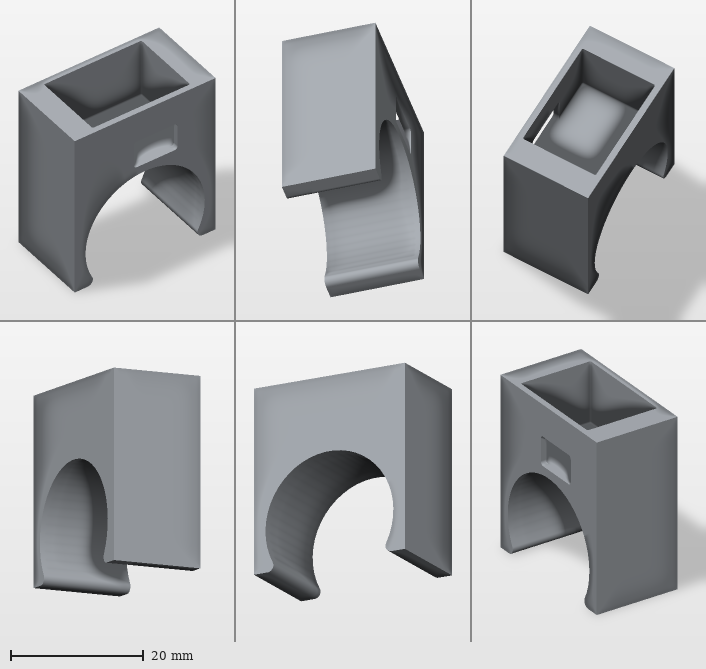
import cadquery as cq

width = 14.7
depth = 26.0
height = 29.5

bore_radius = 11.0
bore_center_z = 6.55
lip_radius = 1.0

wall = 1.0
pocket_width = width - 2 * wall
pocket_length = 18.0
pocket_depth = 10.5
floor_z = height - pocket_depth
pocket_fillet = 0.25

window_length = 8.08
window_height = 5.02
window_center_y = 1.95
window_radius = 0.6


def clip_body():
    """Block with the bore cut away and its two bottom lips rounded."""
    block = cq.Workplane("XY").box(width, depth, height, centered=(True, True, False))
    bore = (
        cq.Workplane("YZ")
        .center(0, bore_center_z)
        .circle(bore_radius)
        .extrude(width / 2, both=True)
    )
    inner_bottom_edges = cq.selectors.BoxSelector(
        (-width, -bore_radius, -0.3), (width, bore_radius, 0.3)
    )
    return block.cut(bore).edges("|X").edges(inner_bottom_edges).fillet(lip_radius)


def pocket():
    """Pocket volume with rounded upright corners and floor edges."""
    return (
        cq.Workplane("XY")
        .workplane(offset=floor_z)
        .rect(pocket_width, pocket_length)
        .extrude(height - floor_z)
        .edges("|Z or <Z")
        .fillet(pocket_fillet)
    )


def window():
    """Round-cornered opening reaching from the flat pocket floor out through the wall."""
    reach = wall + pocket_fillet
    return (
        cq.Workplane("XY")
        .box(reach, window_length, window_height, centered=(False, True, False))
        .edges("|X")
        .fillet(window_radius)
        .translate((width / 2 - reach, window_center_y, floor_z))
    )


result = clip_body().cut(pocket()).cut(window())